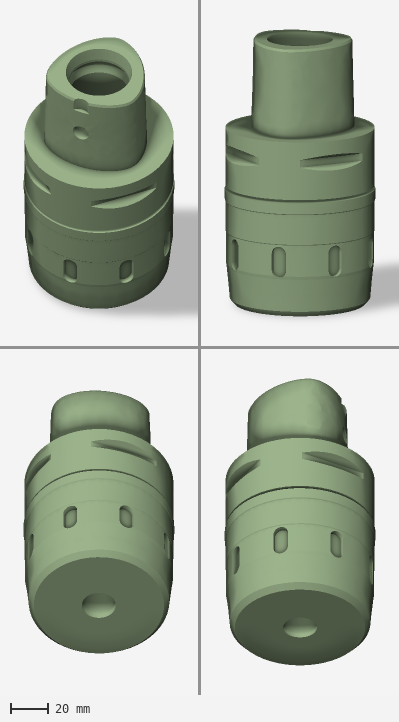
import cadquery as cq
import math

TOTAL_HEIGHT = 144.3
NOSE_CHAMFER_TOP = 3.0
NOSE_CONE_TOP = 20.9
NUT_BOTTOM = 22.7
NUT_TOP = 39.7
COLLAR_BOTTOM = 56.9
COLLAR_TOP = 62.9
FLANGE_BOTTOM = 64.6
FLANGE_TOP = 96.2
STEP_BEVEL = 0.5

NOSE_RADIUS = 34.9
NOSE_CHAMFER_RADIUS = 37.7
NOSE_CONE_RADIUS = 39.4
NUT_RADIUS = 39.7
FLANGE_RADIUS = 40.0
COLLAR_DIAMETER = 80.7
COLLAR_RADIUS = COLLAR_DIAMETER / 2
NECK_RADIUS = 34.9

SHANK_BASE_WIDTH = 55.3
SHANK_TAPER = 1 / 20
LOBE_HEIGHT = 2.0
OUTLINE_POINTS = 72
SHANK_CHAMFER_HEIGHT = 1.3
SHANK_CHAMFER_INSET = 0.7

THROUGH_BORE_RADIUS = 9.1
BORE_RADIUS = 16.2
BORE_DEPTH = TOTAL_HEIGHT - FLANGE_TOP
BORE_MOUTH_RADIUS = 17.7
MOUTH_CONE_DEPTH = 6.5
UNDERCUT_RADIUS = 19.2
UNDERCUT_START_DEPTH = 8.1
UNDERCUT_END_DEPTH = 16.3

KEYWAY_RADIUS = 5.8
KEYWAY_AXIS_OFFSET = 28.0
KEYWAY_DEPTH = 7.6
BLIND_HOLE_DIAMETER = 9.1
BLIND_HOLE_HEIGHT = 121.4
BLIND_HOLE_FLOOR_OFFSET = 17.3

GRIPPER_COUNT = 4
GRIPPER_START_ANGLE = 45
GRIPPER_FLOOR_OFFSET = 35.2
GRIPPER_FLOOR_HEIGHT = 4.0
GRIPPER_MOUTH_HEIGHT = 8.7
GRIPPER_MID_HEIGHT = 84.4

SPANNER_COUNT = 8
SPANNER_WIDTH = 8.0
SPANNER_LENGTH = 17.0
SPANNER_FLOOR_OFFSET = 36.5
SPANNER_MID_HEIGHT = 30.2

CUT_CLEARANCE = 7.2


def make_turned_body():
    profile = [
        (0, 0),
        (NOSE_RADIUS, 0),
        (NOSE_CHAMFER_RADIUS, NOSE_CHAMFER_TOP),
        (NOSE_CONE_RADIUS, NOSE_CONE_TOP),
        (NUT_RADIUS, NUT_BOTTOM),
        (NUT_RADIUS, NUT_TOP),
        (FLANGE_RADIUS, NUT_TOP + STEP_BEVEL),
        (FLANGE_RADIUS, COLLAR_BOTTOM - STEP_BEVEL),
        (COLLAR_RADIUS, COLLAR_BOTTOM),
        (COLLAR_RADIUS, COLLAR_TOP),
        (NECK_RADIUS, COLLAR_TOP),
        (NECK_RADIUS, FLANGE_BOTTOM),
        (FLANGE_RADIUS, FLANGE_BOTTOM),
        (FLANGE_RADIUS, FLANGE_TOP),
        (0, FLANGE_TOP),
    ]
    return cq.Workplane("XZ").polyline(profile).close().revolve(360, (0, 0), (0, 1))


def lobed_wire(width, height):
    """Constant-width three-lobed outline with one lobe pointing to +Y."""

    def outline_point(t):
        angle = 2 * math.pi * t
        x = -width / 2 * math.sin(angle) - LOBE_HEIGHT * (2 * math.sin(2 * angle) + math.sin(4 * angle))
        y = -width / 2 * math.cos(angle) + LOBE_HEIGHT * (2 * math.cos(2 * angle) - math.cos(4 * angle))
        return (x, y, height)

    points = [cq.Vector(*outline_point(i / OUTLINE_POINTS)) for i in range(OUTLINE_POINTS)]
    return cq.Wire.assembleEdges([cq.Edge.makeSpline(points, periodic=True)])


def make_shank():
    shoulder = TOTAL_HEIGHT - SHANK_CHAMFER_HEIGHT
    shoulder_width = SHANK_BASE_WIDTH - SHANK_TAPER * (shoulder - FLANGE_TOP)
    top_width = shoulder_width - 2 * SHANK_CHAMFER_INSET
    outlines = [
        lobed_wire(SHANK_BASE_WIDTH, FLANGE_TOP),
        lobed_wire(shoulder_width, shoulder),
        lobed_wire(top_width, TOTAL_HEIGHT),
    ]
    return cq.Workplane(cq.Solid.makeLoft(outlines, True))


def make_bore():
    undercut_depth = UNDERCUT_RADIUS - BORE_RADIUS
    profile = [
        (0, 0),
        (THROUGH_BORE_RADIUS, 0),
        (THROUGH_BORE_RADIUS, TOTAL_HEIGHT - BORE_DEPTH),
        (BORE_RADIUS, TOTAL_HEIGHT - BORE_DEPTH),
        (BORE_RADIUS, TOTAL_HEIGHT - UNDERCUT_END_DEPTH),
        (UNDERCUT_RADIUS, TOTAL_HEIGHT - UNDERCUT_END_DEPTH + undercut_depth),
        (UNDERCUT_RADIUS, TOTAL_HEIGHT - UNDERCUT_START_DEPTH - undercut_depth),
        (BORE_RADIUS, TOTAL_HEIGHT - UNDERCUT_START_DEPTH),
        (BORE_RADIUS, TOTAL_HEIGHT - MOUTH_CONE_DEPTH),
        (BORE_MOUTH_RADIUS, TOTAL_HEIGHT),
        (0, TOTAL_HEIGHT),
    ]
    return cq.Workplane("XZ").polyline(profile).close().revolve(360, (0, 0), (0, 1))


def make_keyway():
    return (
        cq.Workplane("XY", origin=(0, -KEYWAY_AXIS_OFFSET, TOTAL_HEIGHT))
        .circle(KEYWAY_RADIUS)
        .extrude(-KEYWAY_DEPTH)
    )


def make_blind_hole():
    """Flat-bottomed blind hole from the -Y side."""
    return (
        cq.Workplane("XZ", origin=(0, -BLIND_HOLE_FLOOR_OFFSET, BLIND_HOLE_HEIGHT))
        .circle(BLIND_HOLE_DIAMETER / 2)
        .extrude(SHANK_BASE_WIDTH / 2 - BLIND_HOLE_FLOOR_OFFSET)
    )


def make_gripper_groove():
    """Straight groove with sloping flanks, cut across the +X side of the flange."""
    slope = (GRIPPER_MOUTH_HEIGHT - GRIPPER_FLOOR_HEIGHT) / 2 / (FLANGE_RADIUS - GRIPPER_FLOOR_OFFSET)
    outer = FLANGE_RADIUS + CUT_CLEARANCE
    half_floor = GRIPPER_FLOOR_HEIGHT / 2
    half_outer = half_floor + slope * (outer - GRIPPER_FLOOR_OFFSET)
    profile = [
        (GRIPPER_FLOOR_OFFSET, -half_floor),
        (outer, -half_outer),
        (outer, half_outer),
        (GRIPPER_FLOOR_OFFSET, half_floor),
    ]
    return (
        cq.Workplane("XZ", origin=(0, 0, GRIPPER_MID_HEIGHT))
        .polyline(profile)
        .close()
        .extrude(FLANGE_RADIUS, both=True)
    )


def make_spanner_slot():
    """Upright flat-bottomed slot on the +X side of the nut."""
    return (
        cq.Workplane("YZ", origin=(SPANNER_FLOOR_OFFSET, 0, SPANNER_MID_HEIGHT))
        .slot2D(SPANNER_LENGTH, SPANNER_WIDTH, 90)
        .extrude(CUT_CLEARANCE)
    )


def cut_around(body, cutter, count, start_angle):
    for index in range(count):
        angle = start_angle + index * 360 / count
        body = body.cut(cutter.rotate((0, 0, 0), (0, 0, 1), angle))
    return body


result = make_turned_body().union(make_shank())
result = result.cut(make_bore())
result = result.cut(make_keyway())
result = result.cut(make_blind_hole())
result = cut_around(result, make_gripper_groove(), GRIPPER_COUNT, GRIPPER_START_ANGLE)
result = cut_around(result, make_spanner_slot(), SPANNER_COUNT, 0)